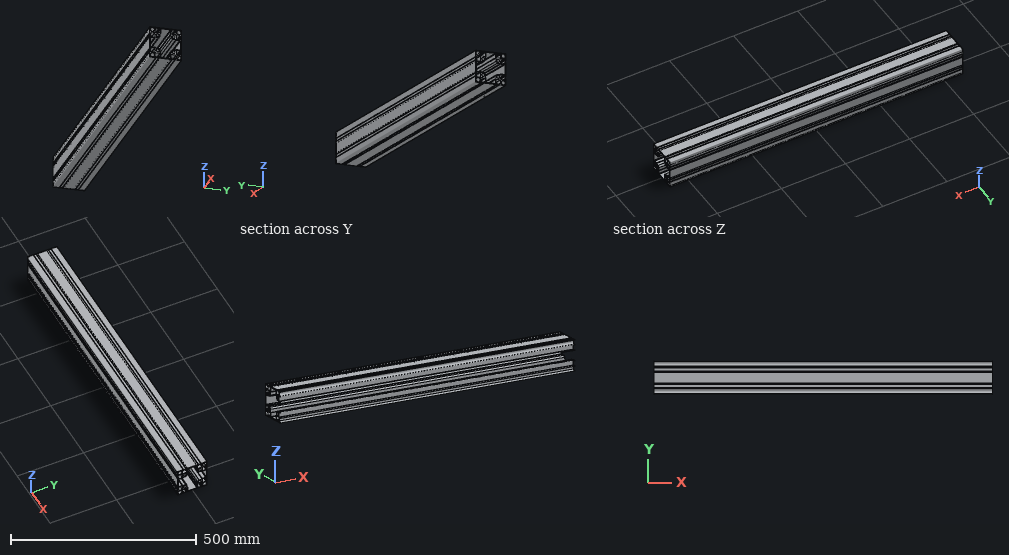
import cadquery as cq

length = 914.0
side = 90.0
half = side / 2
edge_radius = 2.0

slot_offset = side / 4
slot_width = 8.0
cover_recess = 0.5
cover_thickness = 2.0
lip_depth = 4.1
chamber_width = 14.0
chamber_depth = 15.0

bore_diameter = 12.0
bore_wall = 1.65
bore_offset = half - bore_wall - bore_diameter / 2

channel_diameter = 8.0
block_reach = 6.9
block_chamfer = 5.0

skin = 3.0
side_wall = 2.0
step_depth = 1.0

cavity_half = half - skin
pier_edge = slot_offset - chamber_width / 2 - side_wall
pier_end = half - chamber_depth - step_depth
block_edge = slot_offset - block_reach
chamfer_edge = block_edge + block_chamfer


def swapped(points):
    """Mirror section points about the diagonal Y = Z."""
    return [(z, y) for y, z in points]


def quarter_turned(points):
    """Turn section points by a quarter turn about the X axis, from +Z towards +Y."""
    return [(z, -y) for y, z in points]


def all_around(path):
    """Chain a path from the +Y +Z quadrant with its three quarter-turned copies."""
    outline = []
    for _ in range(4):
        outline += path
        path = quarter_turned(path)
    return outline


def outer_outline():
    """Square outline with a shallow recess over every slot."""
    near = slot_offset - slot_width / 2
    far = slot_offset + slot_width / 2
    floor = half - cover_recess
    recess = [(near, half), (near, floor), (far, floor), (far, half)]
    return all_around(recess + [(half, half)] + swapped(reversed(recess)))


def cavity_outline():
    """Cross-shaped cavity around the four corner piers and their chamfered channel blocks."""
    pier_side = [
        (pier_edge, cavity_half),
        (pier_edge, pier_end),
        (block_edge, pier_end),
        (block_edge, chamfer_edge),
    ]
    return all_around(pier_side + swapped(reversed(pier_side)))


def slot_outline():
    """T-shaped void under the cover of the slot in the +Z face, on the +Y side."""
    ceiling = half - cover_recess - cover_thickness
    profile = [
        (slot_width / 2, ceiling),
        (slot_width / 2, half - lip_depth),
        (chamber_width / 2, half - lip_depth),
        (chamber_width / 2, half - chamber_depth),
    ]
    right = [(slot_offset + y, z) for y, z in profile]
    left = [(slot_offset - y, z) for y, z in reversed(profile)]
    return right + left


section = cq.Workplane("YZ", origin=(-length / 2, 0, 0))
section = section.polyline(outer_outline()).close()
section = section.polyline(cavity_outline()).close()

slot = slot_outline()
for _ in range(4):
    section = section.polyline(slot).close()
    section = section.polyline(swapped(slot)).close()
    slot = quarter_turned(slot)

for offset, diameter in ((bore_offset, bore_diameter), (slot_offset, channel_diameter)):
    centers = all_around([(offset, offset)])
    section = section.pushPoints(centers).circle(diameter / 2)

result = section.extrude(length)
for y in (-half, half):
    for z in (-half, half):
        long_edge = cq.selectors.NearestToPointSelector((0, y, z))
        result = result.edges(long_edge).fillet(edge_radius)